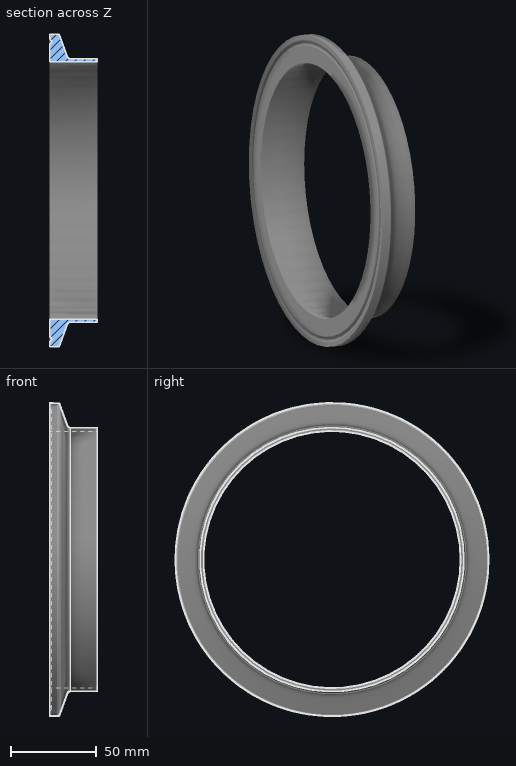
import cadquery as cq
import math

length = 28.0
flange_radius = 183 / 2
neck_radius = 154.0 / 2
bore_radius = 150 / 2

cone_angle = math.radians(20)
rim_width = 5.7
rim_fillet = 1.1
neck_fillet = 1.8

groove_center_radius = 87.0
groove_round = 1.1
outer_lip_radius = 89.0
inner_lip_radius = 85.3


def revolve_about_x(profile):
    return profile.revolve(360, (0, 0, 0), (1, 0, 0))


def edges_near_x(x):
    """Select the circular edges lying in the plane at the given x."""
    margin = 0.2
    reach = flange_radius + margin
    return cq.selectors.BoxSelector(
        (x - margin, -reach, -reach), (x + margin, reach, reach), boundingbox=True
    )


def make_ring():
    cone_end = rim_width + (flange_radius - neck_radius) * math.tan(cone_angle)
    profile = (
        cq.Workplane("XY")
        .moveTo(0, bore_radius)
        .lineTo(0, flange_radius)
        .lineTo(rim_width, flange_radius)
        .lineTo(cone_end, neck_radius)
        .lineTo(length, neck_radius)
        .lineTo(length, bore_radius)
        .close()
    )
    ring = revolve_about_x(profile)
    ring = ring.edges(edges_near_x(rim_width)).fillet(rim_fillet)
    return ring.edges(edges_near_x(cone_end)).fillet(neck_fillet)


def lip_arc(lip_radius):
    """Middle point and groove-side end of a lip arc tangent to the face and the groove."""
    offset = lip_radius - groove_center_radius
    side = math.copysign(1, offset)
    lip_round = (offset**2 - groove_round**2) / (2 * groove_round)
    join_angle = math.atan2(lip_round, abs(offset))
    mid_angle = (math.pi / 2 + join_angle) / 2
    middle = (
        lip_round * (1 - math.sin(mid_angle)),
        lip_radius - side * lip_round * math.cos(mid_angle),
    )
    join = (
        groove_round * math.sin(join_angle),
        groove_center_radius + side * groove_round * math.cos(join_angle),
    )
    return middle, join


def make_groove():
    outer_middle, outer_join = lip_arc(outer_lip_radius)
    inner_middle, inner_join = lip_arc(inner_lip_radius)
    profile = (
        cq.Workplane("XY")
        .moveTo(0, outer_lip_radius)
        .threePointArc(outer_middle, outer_join)
        .threePointArc((groove_round, groove_center_radius), inner_join)
        .threePointArc(inner_middle, (0, inner_lip_radius))
        .close()
    )
    return revolve_about_x(profile)


result = make_ring().cut(make_groove())